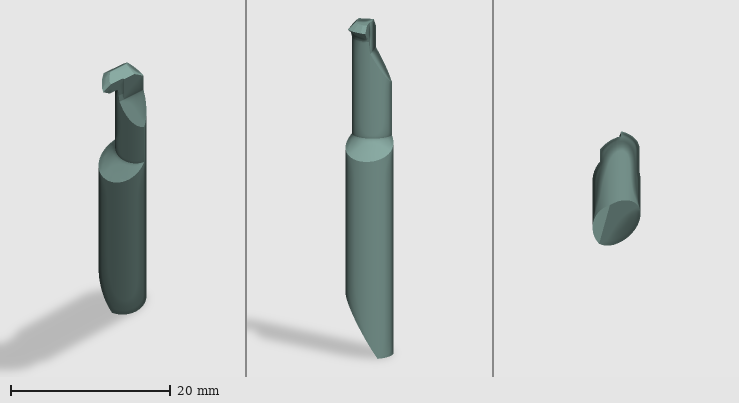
import cadquery as cq
import math

length = 43.0
shank_radius = 3.0
tail_angle = math.radians(60)
tail_height = 7.9

shoulder_height = 28.05
neck_side_x = -2.55
neck_front = -0.6
neck_arc_radius = 2.6
neck_axis_y = neck_front + neck_arc_radius

relief_x = 0.2
relief_height = 39.0

edge_height = 42.2
head_bottom = 41.3
gusset_bottom = 40.6
gusset_radius = 3.0
side_chamfer = length - edge_height
back_chamfer_y = 1.65
back_chamfer_height = 41.75

rake_x = 0.05
rake_back_y = 0.1
rake_bottom = 40.0

top_front = [(neck_side_x + side_chamfer, -0.7), (-1.2, -1.15), (-0.5, -1.65), (relief_x, -1.8)]
edge_front = [(neck_side_x, -1.2), (-1.7, -1.98), (-0.6, -2.65), (relief_x, -2.95)]
bottom_front = [(-1.55, -0.7), (-1.08, -1.1), (-0.4, -1.7), (relief_x, -1.98)]


def prism_along_y(points):
    """Prism through the whole depth of the part from an (X, Z) outline."""
    return cq.Workplane("XZ").polyline(points).close().extrude(shank_radius, both=True)


def cylinder_at_neck_axis(radius, bottom, top):
    return (
        cq.Workplane("XY", origin=(0, neck_axis_y, bottom))
        .circle(radius)
        .extrude(top - bottom)
    )


def inside_side_flat(bottom):
    """Block on the inner side of the neck flat, from the given height up to the cutting edge."""
    return cq.Workplane("XY", origin=(neck_side_x, 0, bottom)).box(
        2 * shank_radius, 4 * shank_radius, edge_height - bottom, centered=(False, True, False)
    )


def make_neck():
    neck = cylinder_at_neck_axis(neck_arc_radius, shoulder_height, edge_height)
    return neck.intersect(inside_side_flat(shoulder_height))


def make_shoulder():
    """45 degree cone widening from the neck until it leaves the shank."""
    cone_radius = shank_radius + neck_axis_y
    drop = cone_radius - neck_arc_radius
    cone = cq.Solid.makeCone(
        cone_radius, neck_arc_radius, drop, pnt=(0, neck_axis_y, shoulder_height - drop)
    )
    return cylinder_at_neck_axis(cone_radius, 0, shoulder_height - drop).union(cq.Workplane(cone))


def make_gusset():
    """Cone that flares the neck out to carry the head."""
    cone = cq.Solid.makeCone(
        neck_arc_radius, gusset_radius, edge_height - gusset_bottom,
        pnt=(0, neck_axis_y, gusset_bottom),
    )
    return cq.Workplane(cone).intersect(inside_side_flat(gusset_bottom))


def head_layer(lower_front, lower_z, upper_front, upper_z):
    """Straight-sided layer between two front outlines, closed at the back of the shank."""
    wires = []
    for front, z in ((lower_front, lower_z), (upper_front, upper_z)):
        back = [(relief_x, shank_radius), (front[0][0], shank_radius)]
        wires.append(cq.Wire.makePolygon([cq.Vector(x, y, z) for x, y in front + back], close=True))
    return cq.Workplane(cq.Solid.makeLoft(wires, True))


def make_head():
    lower = head_layer(bottom_front, head_bottom, edge_front, edge_height)
    upper = head_layer(edge_front, edge_height, top_front, length)
    return lower.union(upper).union(make_gusset())


def make_back_chamfer():
    return (
        cq.Workplane("YZ")
        .polyline([(back_chamfer_y, length), (shank_radius, length), (shank_radius, back_chamfer_height)])
        .close()
        .extrude(shank_radius, both=True)
    )


def make_relief():
    rise = (shank_radius - relief_x) * math.tan(tail_angle)
    return prism_along_y([
        (relief_x, length),
        (relief_x, relief_height),
        (shank_radius, relief_height - rise),
        (shank_radius, length),
    ])


def make_rake_pocket():
    pocket = prism_along_y([
        (rake_x, length),
        (rake_x, rake_bottom),
        (relief_x, relief_height),
        (relief_x, length),
    ])
    front = cq.Workplane("XY").box(
        2 * shank_radius, 2 * shank_radius, length, centered=(True, False, False)
    ).translate((0, rake_back_y - 2 * shank_radius, 0))
    return pocket.intersect(front)


def make_tail_cut():
    return prism_along_y([
        (-shank_radius, 0),
        (-shank_radius, tail_height),
        (tail_height / math.tan(tail_angle) - shank_radius, 0),
    ])


envelope = cq.Workplane("XY").circle(shank_radius).extrude(length)
body = make_shoulder().union(make_neck()).union(make_head())
blank = envelope.intersect(body)
result = blank.cut(make_back_chamfer()).cut(make_relief()).cut(make_rake_pocket()).cut(make_tail_cut())